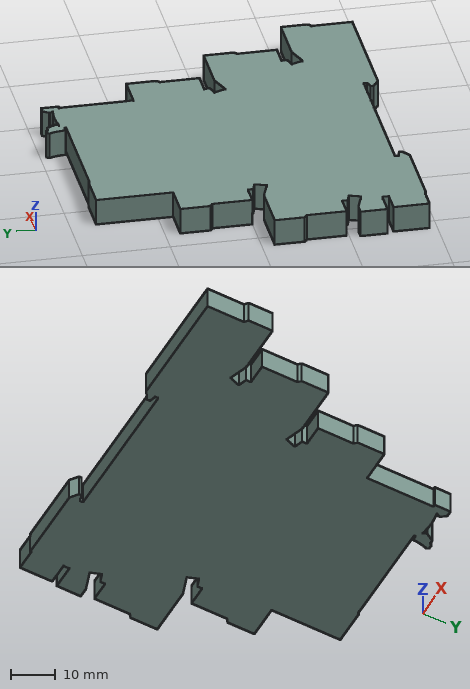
import cadquery as cq

total_length = 87.5
total_height = 77.1
thickness = 6.2

block_half_width = 21.8
block_top = 72.4
tier_half_width = 29.7
tier_top = 55.1
tier_step_out = 9.4
tier_drop = 19.5
left_end = -(tier_half_width + tier_step_out)
right_end = left_end + total_length
second_tier_top = tier_top - tier_drop
third_tier_top = second_tier_top - tier_drop

strip_height = 0.3
strip_end = -13.2

face_depth = 6.8
bevel_height = 0.7
left_relief = 0.9
right_relief = 0.7

foot_depth = 16.5
foot_length = 5.8
notch_wall = 1.2
notch_roof_run = 2.1
notch_roof_drop = 0.7
notch_end_run = 1.0
notch_end_drop = 2.6
notch_floor_run = 4.5

slot_top = 10.0
slot_bottom = 8.5
slot_end = -33.25
foot_left = -38.4
foot_underside = 0.3

rail_left = -15.1
rail_right = 19.2
rail_depth = 3.3
hook_wall_bottom = 2.5
hook_top = 2.1
hook_bottom = 1.4
hook_reach = 1.6
hook_lead_in = 1.9

latch_root = block_top - 0.6
slit_top = block_top + 0.35
slit_end = 12.4
post_left = 11.2
post_back_middle = (11.0, 74.7)
post_back_top = (10.5, 76.5)
tip_left = 10.85
tip_right = 11.7
shoulder_left = 12.2
shoulder_right = 13.1
post_shoulder = 76.6
post_right = 14.3
undercut_bulge = 74.7
undercut_top = 74.3
saddle_left = 13.8
saddle_right = 20.4
saddle_end_height = 73.7
saddle_crown = 74.0
saddle_middle = ((saddle_left + saddle_right) / 2, saddle_crown)
lug_left = 19.95
lug_bevel_end = 20.9
lug_right = 22.4
lug_top = 76.0
lug_bottom = 72.0


def tier_side(side, half_width, top, relief):
    """Points of one tier's side, from its outer top corner to the end of its notch floor."""
    face = half_width - relief
    relief_start = top - face_depth
    foot = top - foot_depth
    notch_x = half_width - foot_length
    roof_y = foot - notch_wall
    notch_end_x = notch_x - notch_roof_run
    notch_end_y = roof_y - notch_roof_drop
    floor_x = notch_end_x + notch_end_run
    points = [
        (half_width, top),
        (half_width, relief_start),
        (face, relief_start - bevel_height),
        (face, foot),
        (notch_x, foot),
        (notch_x, roof_y),
        (notch_end_x, notch_end_y),
        (floor_x, notch_end_y - notch_end_drop),
        (floor_x + notch_floor_run, top - tier_drop),
    ]
    return [(side * x, y) for x, y in points]


def both_tiers(side, relief):
    """Points down one side through the first and second tiers."""
    upper = tier_side(side, tier_half_width, tier_top, relief)
    lower = tier_side(side, tier_half_width + tier_step_out, second_tier_top, relief)
    return upper + lower


def make_housing():
    """Stepped plate, traced down the left, along the underside and up the right."""
    left_foot = [
        (left_end, third_tier_top),
        (left_end, slot_top),
        (slot_end, slot_top),
        (slot_end, slot_bottom),
        (foot_left, slot_bottom),
        (foot_left, foot_underside),
        (slot_end, foot_underside),
        (slot_end, 0),
    ]
    rail_recess = [
        (rail_left + hook_reach - hook_lead_in, 0),
        (rail_left + hook_reach, hook_bottom),
        (rail_left + hook_reach, hook_top),
        (rail_left, hook_wall_bottom),
        (rail_left, rail_depth),
        (rail_right, rail_depth),
        (rail_right, hook_wall_bottom),
        (rail_right - hook_reach, hook_top),
        (rail_right - hook_reach, hook_bottom),
        (rail_right - hook_reach + hook_lead_in, 0),
    ]
    right_foot = [
        (right_end - left_relief, 0),
        (right_end - left_relief, third_tier_top - face_depth),
        (right_end, third_tier_top - face_depth + bevel_height),
        (right_end, third_tier_top),
    ]
    block = [
        (block_half_width, tier_top),
        (block_half_width, block_top),
        (strip_end, block_top),
        (strip_end, block_top + strip_height),
        (-block_half_width, block_top + strip_height),
        (-block_half_width, tier_top),
    ]
    outline = both_tiers(-1, left_relief) + left_foot + rail_recess + right_foot
    outline += both_tiers(1, right_relief)[::-1] + block
    return cq.Workplane("XY").polyline(outline).close().extrude(thickness)


def make_latch():
    """Hooked post and corner lug, bridged by a slightly crowned saddle."""
    return (
        cq.Workplane("XY").moveTo(slit_end, latch_root)
        .lineTo(slit_end, slit_top)
        .lineTo(post_left, slit_top)
        .threePointArc(post_back_middle, post_back_top)
        .lineTo(tip_left, total_height)
        .lineTo(tip_right, total_height)
        .lineTo(shoulder_left, post_shoulder)
        .lineTo(shoulder_right, post_shoulder)
        .lineTo(post_right, undercut_bulge)
        .lineTo(post_right, undercut_top)
        .lineTo(saddle_left, saddle_end_height)
        .threePointArc(saddle_middle, (saddle_right, saddle_end_height))
        .lineTo(lug_left, undercut_top)
        .lineTo(lug_left, undercut_bulge)
        .lineTo(lug_bevel_end, lug_top)
        .lineTo(lug_right, lug_top)
        .lineTo(lug_right, lug_bottom)
        .lineTo(block_half_width, lug_bottom)
        .lineTo(block_half_width, latch_root)
        .close().extrude(thickness)
    )


result = make_housing().union(make_latch())